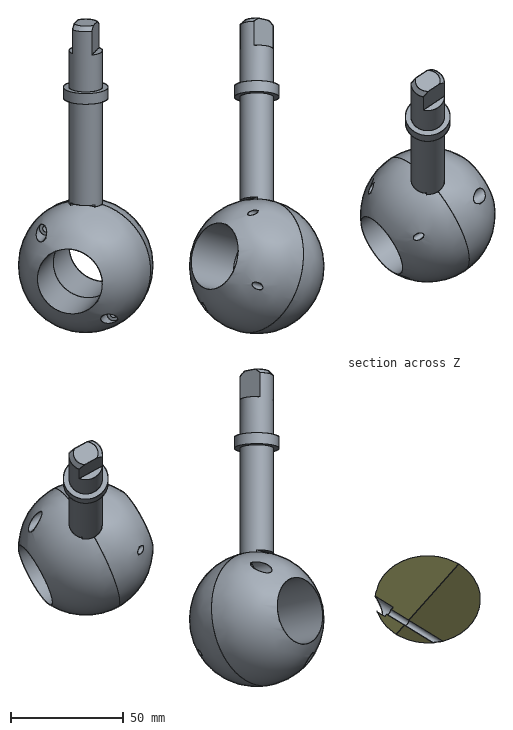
import cadquery as cq
import math


total_height = 143.0
ball_diameter = 60.0
ball_radius = ball_diameter / 2
bore_diameter = 30.0

screw_circle_radius = 24.3
clamp_angle = -50.0
screw_hole_diameter = 3.0
screw_head_diameter = 2 * screw_hole_diameter
screw_head_floor = 10.0

stem_diameter = 15.0
stem_top = total_height - ball_radius
stem_shoulder = ball_radius
stem_chamfer = 2.0
collar_diameter = 20.0
collar_height = 5.0
collar_drop = 30.0
collar_top = stem_top - collar_drop
drive_width = 9.0
drive_height = 13.0
tongue_thickness = 10.0
tongue_depth = 8.0


def cylinder_along_z(diameter, bottom, top):
    return cq.Workplane("XY").workplane(offset=bottom).circle(diameter / 2).extrude(top - bottom)


def cylinders_along_y(diameter, centres, start, end):
    """Parallel cylinders at the given (x, z) centres, from y = start to y = end."""
    return (
        cq.Workplane("XZ", origin=(0, start, 0))
        .pushPoints(centres)
        .circle(diameter / 2)
        .extrude(start - end)
    )


def double_flat(width_x, width_y, bottom, top):
    """Stretch of the stem rod trimmed to the given widths."""
    envelope = (
        cq.Workplane("XY")
        .workplane(offset=bottom)
        .rect(width_x, width_y)
        .extrude(top - bottom)
    )
    return cylinder_along_z(stem_diameter, bottom, top).intersect(envelope)


def make_tongue():
    return double_flat(
        stem_diameter, tongue_thickness, stem_shoulder - tongue_depth, stem_shoulder
    )


def make_stem():
    drive_bottom = stem_top - drive_height
    rod = cylinder_along_z(stem_diameter, stem_shoulder, stem_top).faces(">Z").chamfer(stem_chamfer)
    shank = rod.intersect(cylinder_along_z(stem_diameter, stem_shoulder, drive_bottom))
    drive = rod.intersect(double_flat(drive_width, stem_diameter, drive_bottom, stem_top))
    collar = cylinder_along_z(collar_diameter, collar_top - collar_height, collar_top)
    return shank.union(drive).union(collar).union(make_tongue())


def make_half_ball(side):
    """Bored half of the ball on one side of the XZ plane; side is -1 or +1 along Y."""
    half_space = cq.Workplane("XY").box(ball_diameter, ball_radius, ball_diameter)
    half_space = half_space.translate((0, side * ball_radius / 2, 0))
    bore = cylinders_along_y(bore_diameter, [(0, 0)], -ball_radius, ball_radius)
    ball = cq.Workplane("XY").sphere(ball_radius)
    return ball.intersect(half_space).cut(bore).cut(make_tongue())


def screw_points(angles):
    return [
        (
            screw_circle_radius * math.cos(math.radians(angle)),
            screw_circle_radius * math.sin(math.radians(angle)),
        )
        for angle in angles
    ]


clamp_points = screw_points([clamp_angle, clamp_angle + 180])
spare_points = screw_points([clamp_angle + 90, clamp_angle + 270])


def make_front_half():
    """Half on the -Y side, with two counterbored screw holes."""
    holes = cylinders_along_y(screw_hole_diameter, clamp_points, -ball_radius, 0)
    head_seats = cylinders_along_y(
        screw_head_diameter, clamp_points, -ball_radius, -screw_head_floor
    )
    return make_half_ball(-1).cut(holes).cut(head_seats)


def make_back_half():
    """Half on the +Y side, with four plain screw holes at 90 degree steps."""
    holes = cylinders_along_y(
        screw_hole_diameter, clamp_points + spare_points, 0, ball_radius
    )
    return make_half_ball(1).cut(holes)


stem = make_stem()
front_half = make_front_half()
back_half = make_back_half()

result = cq.Compound.makeCompound([stem.val(), front_half.val(), back_half.val()])